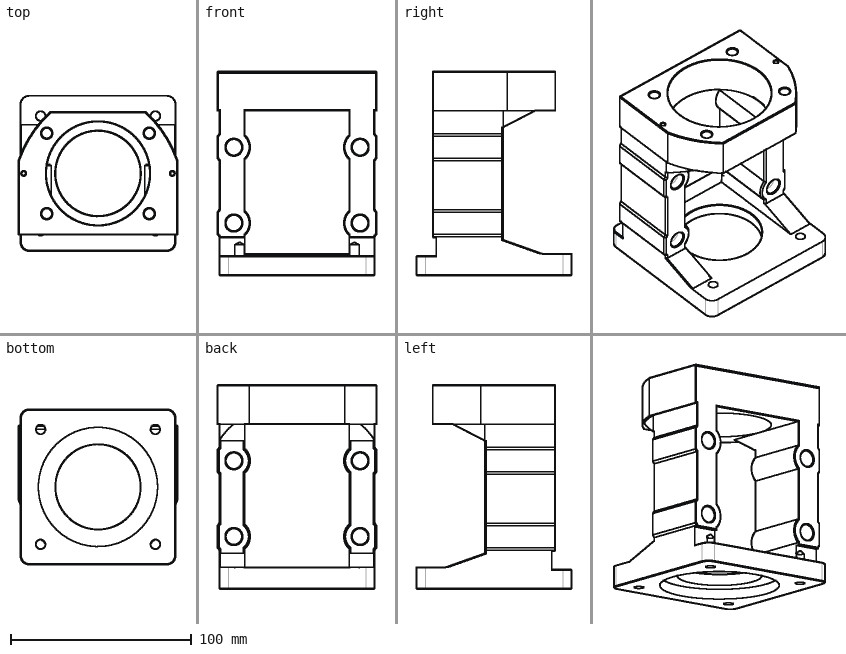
import cadquery as cq
import math

base_side = 86.0
base_corner_radius = 5.0
base_height = 12.0
base_bore_diameter = 47.0
base_counterbore_diameter = 66.0
base_counterbore_depth = 5.5
base_chamfer = 0.5

total_height = 113.0
plate_half_width = 44.01
plate_half_depth = 34.0
plate_thickness = 21.8
plate_rear_half_width = 26.4
plate_arc_start_y = 7.2
plate_arc_bulge = 2.0
plate_bore_diameter = 57.3
bore_chamfer = 0.3
top_chamfer = 0.5

column_outer_x = 43.0
column_inner_x = 28.8
column_rear_y = 5.1
front_chamfer = 0.5
rear_chamfer = 0.9

boss_x = 34.9
boss_radius = 9.0
boss_heights = (29.0, 71.0)
boss_hole_diameter = 8.8
boss_hole_chamfer = 0.5
pad_half_height = 6.1
pad_root_half_height = 7.5

relief_y = -32.0
relief_bottom = 10.8
relief_top = 21.0

ramp_rear_y = 27.0
ramp_top = 19.8
ramp_chamfer = 0.5
gusset_rear_y = 22.8
gusset_bottom = 82.0

mount_offset = 31.8
mount_diameter = 5.2
front_mount_depth = 17.0

tapped_x = 28.4
tapped_y = 22.3
tapped_diameter = 5.6
tapped_depth = 13.6
tapped_chamfer = 0.5
pin_x = 41.1
pin_diameter = 2.3
pin_depth = 5.6
pin_chamfer = 0.3
drill_point_angle = 118.0

plate_bottom = total_height - plate_thickness
front_y = -plate_half_depth


def side_prism(points, x_start, x_end):
    """Extrude a closed YZ outline between two X positions."""
    outline = cq.Workplane("YZ").workplane(offset=x_start).polyline(points).close()
    return outline.extrude(x_end - x_start)


def both_sides(solid):
    """Join a solid with its mirror image across the YZ plane."""
    return solid.union(solid.mirror("YZ"))


def head_outline(half_width, arc_start_y, z_bottom, z_top):
    """Extrude the top plate plan: square at the front, arched rear corners."""
    chord_x = plate_rear_half_width - half_width
    chord_y = plate_half_depth - arc_start_y
    chord = math.hypot(chord_x, chord_y)
    middle_x = half_width + chord_x / 2 + plate_arc_bulge * chord_y / chord
    middle_y = arc_start_y + chord_y / 2 - plate_arc_bulge * chord_x / chord
    return (
        cq.Workplane("XY")
        .workplane(offset=z_bottom)
        .moveTo(-half_width, front_y)
        .lineTo(half_width, front_y)
        .lineTo(half_width, arc_start_y)
        .threePointArc((middle_x, middle_y), (plate_rear_half_width, plate_half_depth))
        .lineTo(-plate_rear_half_width, plate_half_depth)
        .threePointArc((-middle_x, middle_y), (-half_width, arc_start_y))
        .close()
        .extrude(z_top - z_bottom)
    )


def drill(x, y, z, diameter, depth, direction):
    """Blind hole with a conical end, drilled along +Z or -Z."""
    radius = diameter / 2
    tip = depth + radius / math.tan(math.radians(drill_point_angle / 2))
    profile = [(0, 0), (radius, 0), (radius, direction * depth), (0, direction * tip)]
    tool = cq.Workplane("XZ").polyline(profile).close().revolve(360, (0, 0, 0), (0, 1, 0))
    return tool.translate((x, y, z))


def countersink(x, y, z, diameter, chamfer):
    """Conical cut that breaks the upper edge of a vertical hole."""
    radius = diameter / 2
    profile = [(0, 0), (radius + chamfer, 0), (radius, -chamfer), (0, -chamfer)]
    tool = cq.Workplane("XZ").polyline(profile).close().revolve(360, (0, 0, 0), (0, 1, 0))
    return tool.translate((x, y, z))


def make_base():
    base = cq.Workplane("XY").rect(base_side, base_side).extrude(base_height)
    base = base.edges("|Z").fillet(base_corner_radius)
    return base.faces("<Z").edges().chamfer(base_chamfer)


def make_plate():
    plate = head_outline(plate_half_width, plate_arc_start_y, plate_bottom, total_height)
    return plate.faces(">Z").edges().chamfer(top_chamfer)


def make_column():
    """One column on the +X side with its bosses and outer pads."""
    depth = column_rear_y - front_y
    column = cq.Workplane("XY").box(
        column_outer_x - column_inner_x, depth, plate_bottom - base_height, centered=False
    ).translate((column_inner_x, front_y, base_height))
    for z in boss_heights:
        boss = cq.Workplane("XZ", origin=(boss_x, column_rear_y, z)).circle(boss_radius).extrude(depth)
        pad_outline = [
            (boss_x, z - pad_root_half_height),
            (column_outer_x, z - pad_root_half_height),
            (plate_half_width, z - pad_half_height),
            (plate_half_width, z + pad_half_height),
            (column_outer_x, z + pad_root_half_height),
            (boss_x, z + pad_root_half_height),
        ]
        pad = cq.Workplane("XZ", origin=(0, column_rear_y, 0)).polyline(pad_outline).close().extrude(depth)
        column = column.union(boss).union(pad)
    return column.faces(">Y").edges().chamfer(rear_chamfer)


def make_ramp():
    outline = [
        (relief_y, base_height),
        (ramp_rear_y, base_height),
        (column_rear_y, ramp_top),
        (relief_y, ramp_top),
    ]
    ramp = side_prism(outline, column_inner_x, column_outer_x)
    return ramp.faces(">X").edges("not(|Y or |Z)").chamfer(ramp_chamfer)


def make_gusset():
    """Web below the plate, trimmed to the arched plan of the plate."""
    outline = [
        (0, plate_bottom),
        (gusset_rear_y, plate_bottom),
        (column_rear_y, gusset_bottom),
        (0, gusset_bottom),
    ]
    web = side_prism(outline, column_inner_x, column_outer_x)
    return web.intersect(head_outline(column_outer_x, column_rear_y, gusset_bottom, plate_bottom))


def make_relief():
    """Block that clears the front below the lower bosses."""
    return cq.Workplane("XY").box(
        base_side * 2, base_side, relief_top - relief_bottom, centered=(True, False, False)
    ).translate((0, relief_y - base_side, relief_bottom))


frame = make_plate()
for side_part in (make_column(), make_gusset()):
    frame = frame.union(both_sides(side_part))
frame = frame.cut(make_relief())
frame = frame.faces("<Y").edges().chamfer(front_chamfer)

foot = make_base().union(both_sides(make_ramp())).cut(make_relief())
step_middle_y = (relief_y - base_side / 2) / 2
step = foot.faces(cq.selectors.NearestToPointSelector((0, step_middle_y, relief_bottom)))
foot = step.edges("<Y").chamfer(base_chamfer)

body = frame.union(foot)

body = body.cut(cq.Workplane("XY").circle(base_bore_diameter / 2).extrude(base_height))
body = body.cut(cq.Workplane("XY").circle(base_counterbore_diameter / 2).extrude(base_counterbore_depth))
body = body.cut(countersink(0, 0, base_height, base_bore_diameter, bore_chamfer))
body = body.cut(
    cq.Workplane("XY").workplane(offset=plate_bottom).circle(plate_bore_diameter / 2).extrude(plate_thickness)
)
body = body.cut(countersink(0, 0, total_height, plate_bore_diameter, bore_chamfer))

for side in (-1, 1):
    for z in boss_heights:
        hole = cq.Workplane("XZ", origin=(side * boss_x, 0, z)).circle(boss_hole_diameter / 2)
        body = body.cut(hole.extrude(base_side, both=True))
        mouth = countersink(0, 0, 0, boss_hole_diameter, boss_hole_chamfer)
        front_mouth = mouth.rotate((0, 0, 0), (1, 0, 0), 90).translate((side * boss_x, front_y, z))
        rear_mouth = mouth.rotate((0, 0, 0), (1, 0, 0), -90).translate((side * boss_x, column_rear_y, z))
        body = body.cut(front_mouth).cut(rear_mouth)

    rear_mount = cq.Workplane("XY", origin=(side * mount_offset, mount_offset, 0))
    body = body.cut(rear_mount.circle(mount_diameter / 2).extrude(base_height))
    body = body.cut(drill(side * mount_offset, -mount_offset, 0, mount_diameter, front_mount_depth, 1))

    for y in (-tapped_y, tapped_y):
        body = body.cut(drill(side * tapped_x, y, total_height, tapped_diameter, tapped_depth, -1))
        body = body.cut(countersink(side * tapped_x, y, total_height, tapped_diameter, tapped_chamfer))
    body = body.cut(drill(side * pin_x, 0, total_height, pin_diameter, pin_depth, -1))
    body = body.cut(countersink(side * pin_x, 0, total_height, pin_diameter, pin_chamfer))

result = body